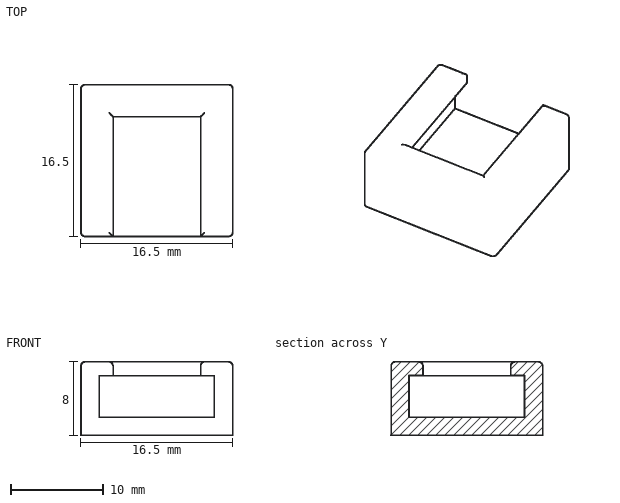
import cadquery as cq

side = 16.5
height = 8.0
edge_radius = 0.5

floor_thickness = 2.0
wall_thickness = 2.0
lip_thickness = 1.5

lip_border = 3.5

front = -side / 2
pocket_top = height - lip_thickness


def slot_from_front(border, bottom, top):
    """Box open at -Y, set in by the border from the other three sides."""
    width = side - 2 * border
    length = side - border
    return (
        cq.Workplane("XY")
        .box(width, length, top - bottom, centered=(True, False, False))
        .translate((0, front, bottom))
    )


block = cq.Workplane("XY").box(side, side, height, centered=(True, True, False))
pocket = slot_from_front(wall_thickness, floor_thickness, pocket_top)
opening = slot_from_front(lip_border, pocket_top, height)

rounded_block = block.edges("|Z").fillet(edge_radius)
result = (
    rounded_block.cut(opening)
    .faces(">Z")
    .edges()
    .fillet(edge_radius)
    .cut(pocket)
)